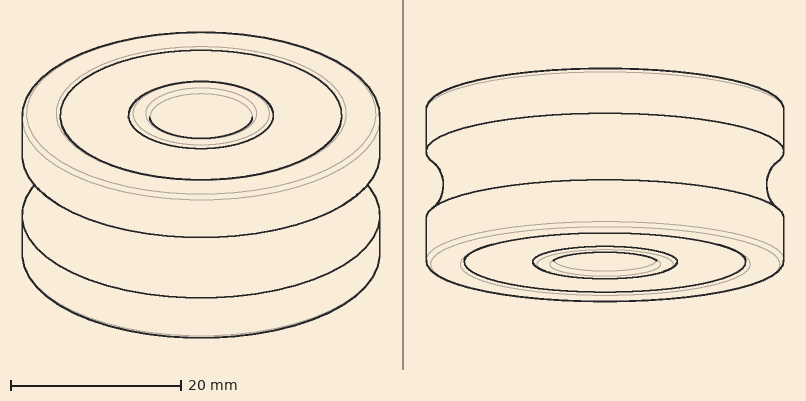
import cadquery as cq

roller_diameter = 42.0
roller_width = 19.0
edge_round = 0.5

groove_width = 8.0
groove_depth = 2.0

shield_outer_diameter = 33.0
shield_inner_diameter = 17.0
bore_diameter = 12.0

shield_recess = 0.25
shield_width = roller_width - 2 * shield_recess


def make_ring(outer_diameter, inner_diameter, width):
    """Plain ring around Z, centred on the XY plane."""
    return (
        cq.Workplane("XY")
        .workplane(offset=-width / 2)
        .circle(outer_diameter / 2)
        .circle(inner_diameter / 2)
        .extrude(width)
    )


def make_rounded_ring(outer_diameter, inner_diameter, width):
    """Ring with its inner and outer rims rounded at both ends."""
    ring = make_ring(outer_diameter, inner_diameter, width)
    rounded_ring = ring.faces("<Z or >Z").edges().fillet(edge_round)
    return rounded_ring.solids()


def make_groove_cutter():
    """Circular-arc groove section, revolved around Z."""
    rim_radius = roller_diameter / 2
    half_width = groove_width / 2
    clear_radius = rim_radius + groove_depth
    return (
        cq.Workplane("XZ")
        .moveTo(rim_radius, -half_width)
        .threePointArc((rim_radius - groove_depth, 0), (rim_radius, half_width))
        .lineTo(clear_radius, half_width)
        .lineTo(clear_radius, -half_width)
        .close()
        .revolve(360, (0, 0, 0), (0, 1, 0))
    )


def make_outer_ring():
    """Grooved running ring."""
    ring = make_rounded_ring(roller_diameter, shield_outer_diameter, roller_width)
    return ring.cut(make_groove_cutter()).solids()


def make_shield():
    """Plain body filling the space between the two rings."""
    return make_ring(shield_outer_diameter, shield_inner_diameter, shield_width)


def make_inner_ring():
    """Ring around the through bore."""
    return make_rounded_ring(shield_inner_diameter, bore_diameter, roller_width)


outer_ring = make_outer_ring()
shield = make_shield()
inner_ring = make_inner_ring()

result = cq.Compound.makeCompound([outer_ring.val(), shield.val(), inner_ring.val()])